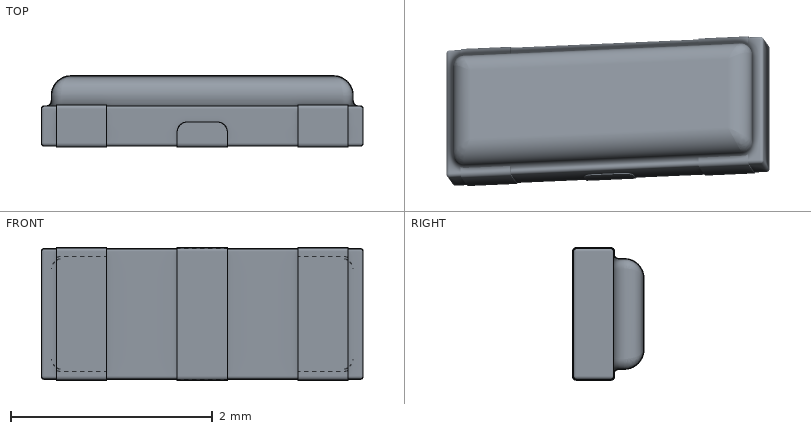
import cadquery as cq

body_length = 3.2
body_depth = 0.4
body_height = 1.3
body_edge_radius = 0.03

pad_thickness = 0.01
pad_width = 0.5
end_pad_margin = 0.15
centre_pad_reach = 0.24
centre_pad_corner_radius = 0.1
pad_edge_radius = body_edge_radius + pad_thickness
pad_height = body_height + 2 * pad_thickness

lens_rise = 0.3
lens_margin = 0.1
lens_corner_radius = 0.1
lens_crown_radius = 0.2
lens_foot_radius = 0.05
lens_length = body_length - 2 * lens_margin
lens_height = body_height - 2 * lens_margin


def block(length, y_start, y_end, height):
    """Box centred on X and Z, spanning y_start to y_end."""
    return cq.Workplane("XY").box(length, y_end - y_start, height).translate((0, (y_start + y_end) / 2, 0))


def make_body():
    return block(body_length, 0, body_depth, body_height).edges().fillet(body_edge_radius)


def make_end_pad(side):
    """Band wrapped all round the body near one end; side is -1 or 1."""
    centre_x = side * (body_length / 2 - end_pad_margin - pad_width / 2)
    band = block(pad_width, -pad_thickness, body_depth + pad_thickness, pad_height)
    return band.edges("|X").fillet(pad_edge_radius).translate((centre_x, 0, 0))


def make_centre_pad():
    """Pad on the mounting face that folds part of the way up both long sides."""
    pad = block(pad_width, -pad_thickness, centre_pad_reach, pad_height)
    pad = pad.edges(">Y and |Z").fillet(centre_pad_corner_radius)
    return pad.edges("<Y and |X").fillet(pad_edge_radius)


def add_lens(body):
    """Lens with mitred crown rounds, softened corners and a filleted foot."""
    lens_top = body_depth + lens_rise
    lens = block(lens_length, body_depth / 2, lens_top, lens_height)
    lens = lens.faces(">Y").edges().fillet(lens_crown_radius)
    lens = lens.edges("|Y").fillet(lens_corner_radius)
    reach_x = (lens_length + lens_margin) / 2
    reach_z = (lens_height + lens_margin) / 2
    reach_y = lens_foot_radius / 2
    foot = cq.selectors.BoxSelector(
        (-reach_x, body_depth - reach_y, -reach_z),
        (reach_x, body_depth + reach_y, reach_z),
        boundingbox=True,
    )
    return body.union(lens).edges(foot).fillet(lens_foot_radius)


result = add_lens(make_body())
for side in (-1, 1):
    result = result.union(make_end_pad(side))
result = result.union(make_centre_pad())